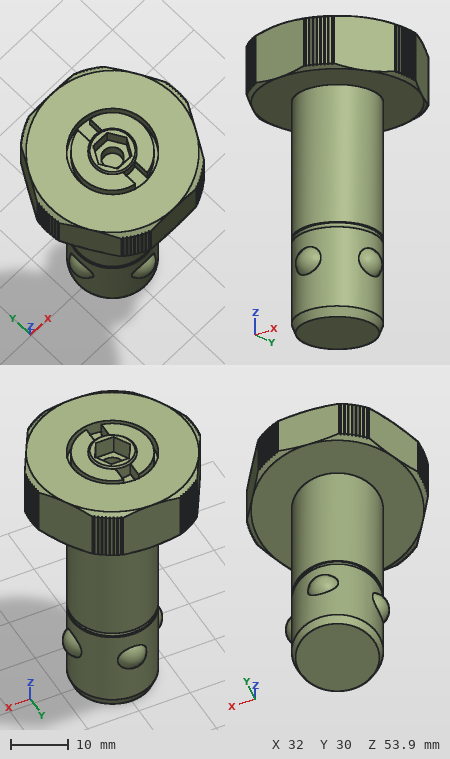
import cadquery as cq
import math

total_height = 53.9
overlap = 0.55

shank_radius = 8.0
tip_radius = 7.3
tip_chamfer_height = 1.7

ring_center_z = 17.15
ring_radius = 0.5
groove_depth = 0.45

ball_count = 4
ball_radius = 3.0
ball_reach = 9.4
ball_center_z = 11.1

knob_flats = 30.0
knob_radius = 16.0
knob_height = 10.0
knob_edge_angle = 30.0
button_rise = 0.4
knob_top_z = total_height - button_rise
knob_bottom_z = knob_top_z - knob_height

serrations_per_corner = 8
serration_width = 0.2
serration_depth = 0.15

pocket_depth = 2.5
pocket_radius = shank_radius
insert_radius = 7.2
slot_width = 2.9

button_radius = 4.25
button_chamfer = 0.3
socket_flats = 6.0
socket_depth = 3.55
pilot_radius = 2.0
pilot_depth = 3.0


def cylinder(radius, height, bottom_z):
    """Vertical cylinder centred on the Z axis."""
    return cq.Workplane("XY").workplane(offset=bottom_z).circle(radius).extrude(height)


def hexagon(flats, height, bottom_z):
    """Vertical hexagonal prism with corners on the X axis."""
    corner_diameter = flats / math.cos(math.pi / 6)
    return (
        cq.Workplane("XY")
        .workplane(offset=bottom_z)
        .polygon(6, corner_diameter)
        .extrude(height)
    )


def make_shank():
    """Revolved shank with a tapered tip and the O-ring in its groove."""
    floor_radius = shank_radius - groove_depth
    section_center = shank_radius - ring_radius
    section_offset = floor_radius - section_center
    half_ring = math.sqrt(ring_radius**2 - section_offset**2)
    top_z = knob_bottom_z + overlap
    return (
        cq.Workplane("XZ")
        .moveTo(0, 0)
        .lineTo(tip_radius, 0)
        .lineTo(shank_radius, tip_chamfer_height)
        .lineTo(shank_radius, ring_center_z - ring_radius)
        .lineTo(floor_radius, ring_center_z - ring_radius)
        .lineTo(floor_radius, ring_center_z - half_ring)
        .threePointArc((shank_radius, ring_center_z), (floor_radius, ring_center_z + half_ring))
        .lineTo(floor_radius, ring_center_z + ring_radius)
        .lineTo(shank_radius, ring_center_z + ring_radius)
        .lineTo(shank_radius, top_z)
        .lineTo(0, top_z)
        .close()
        .revolve(360, (0, 0, 0), (0, 1, 0))
    )


def add_balls(body):
    """Balls protruding from the shank, evenly spaced from the X axis."""
    balls = (
        cq.Workplane("XY")
        .workplane(offset=ball_center_z)
        .polarArray(ball_reach - ball_radius, 0, 360, ball_count)
        .sphere(ball_radius)
    )
    return body.union(balls)


def make_knob_blank():
    """Hexagon trimmed to a round body whose edges are cones tangent to the flats."""
    face_radius = knob_flats / 2
    edge_height = (knob_radius - face_radius) * math.tan(math.radians(knob_edge_angle))
    round_body = (
        cq.Workplane("XZ")
        .moveTo(0, knob_bottom_z)
        .lineTo(face_radius, knob_bottom_z)
        .lineTo(knob_radius, knob_bottom_z + edge_height)
        .lineTo(knob_radius, knob_top_z - edge_height)
        .lineTo(face_radius, knob_top_z)
        .lineTo(0, knob_top_z)
        .close()
        .revolve(360, (0, 0, 0), (0, 1, 0))
    )
    return round_body.intersect(hexagon(knob_flats, knob_height, knob_bottom_z))


def cut_serrations(knob):
    """V grooves running the full knob height at all six corners."""
    corner_arc = 60 - 2 * math.degrees(math.acos(knob_flats / 2 / knob_radius))
    pitch = corner_arc / serrations_per_corner
    outside = knob_radius + overlap
    root = knob_radius - serration_depth
    half_mouth = serration_width / 2 * (serration_depth + overlap) / serration_depth
    groove = (
        cq.Workplane("XY")
        .workplane(offset=knob_bottom_z)
        .polyline([(root, 0), (outside, half_mouth), (outside, -half_mouth)])
        .close()
        .extrude(knob_height)
    )
    for corner in range(6):
        for index in range(serrations_per_corner):
            angle = corner * 60 + (index - (serrations_per_corner - 1) / 2) * pitch
            knob = knob.cut(groove.rotate((0, 0, 0), (0, 0, 1), angle))
    return knob


def make_knob():
    """Serrated knob with a ring groove and a slot left around the flush insert."""
    floor_z = knob_top_z - pocket_depth
    pocket = cylinder(pocket_radius, pocket_depth, floor_z)
    insert = cylinder(insert_radius, pocket_depth, floor_z)
    slot = (
        cq.Workplane("XY")
        .workplane(offset=floor_z)
        .rect(slot_width, 2 * pocket_radius)
        .extrude(pocket_depth)
    )
    return cut_serrations(make_knob_blank()).cut(pocket.cut(insert.cut(slot)))


def make_button():
    """Round button rising from the pocket floor to just above the knob."""
    height = button_rise + pocket_depth + overlap
    button = cylinder(button_radius, height, total_height - height)
    return button.faces(">Z").chamfer(button_chamfer)


def cut_socket(body):
    """Hexagonal socket with a round pilot hole in its floor."""
    floor_z = total_height - socket_depth
    socket = hexagon(socket_flats, socket_depth, floor_z)
    pilot = cylinder(pilot_radius, pilot_depth, floor_z - pilot_depth)
    return body.cut(socket).cut(pilot)


body = add_balls(make_shank())
body = body.union(make_knob()).union(make_button())
result = cut_socket(body)